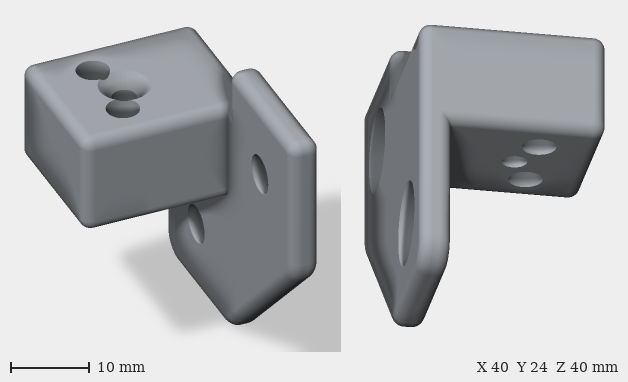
import cadquery as cq
import math

size = 40.0
depth = 24.0
half = size / 2

plate_thickness = 4.0
plate_front = depth - plate_thickness
corner_radius = 4.0
edge_radius = 1.5

block_bottom = half
block_top = 34.0

plate_hole_diameter = 5.3
plate_hole_land = 0.5
plate_hole_places = [(size / 4, size / 4), (size * 3 / 4, size * 3 / 4)]

block_center_x = half / 2
screw_y = 10.0
screw_diameter = 3.25
countersink_diameter = 6.8
countersink_angle = 90.0
side_hole_diameter = 4.4
side_hole_offset = 4.7
side_hole_y = 7.7


def is_inner_corner(edge):
    """True for the plate edge at the concave corner of the step."""
    center = edge.Center()
    return abs(center.x - half) < edge_radius and abs(center.z - block_top) < edge_radius


def make_plate():
    """Stepped plate with a 45 degree lower corner and all edges rounded."""
    outline = [
        (0, 0),
        (half, 0),
        (size, half),
        (size, size),
        (half, size),
        (half, block_top),
        (0, block_top),
    ]
    plate = cq.Workplane("XZ", origin=(0, depth, 0)).polyline(outline).close().extrude(plate_thickness)
    lower_corners = plate.edges("|Y").filter(lambda edge: edge.Center().z < half + edge_radius)
    plate = lower_corners.fillet(corner_radius)
    outer_corners = plate.edges("|Y").filter(
        lambda edge: edge.Center().z > half + corner_radius
        and not is_inner_corner(edge)
    )
    plate = outer_corners.fillet(edge_radius)
    return plate.faces("<Y or >Y").edges().fillet(edge_radius)


def make_block():
    """Block rounded on all exposed edges, ending inside the plate thickness."""
    block_end = plate_front + edge_radius
    block = cq.Workplane("XY").box(half, block_end, block_top - block_bottom, centered=False)
    block = block.translate((0, 0, block_bottom))
    return block.edges("|Y or <Y").fillet(edge_radius)


def make_plate_hole_cutters():
    """Short straight holes that blend through a rounding into a 45 degree flare at the back face."""
    hole_radius = plate_hole_diameter / 2
    diagonal = math.sqrt(0.5)
    blend_end_radius = hole_radius + edge_radius * (1 - diagonal)
    blend_end_depth = plate_hole_land + edge_radius * diagonal
    flare_end_radius = blend_end_radius + plate_thickness - blend_end_depth
    profile = (
        cq.Workplane("XY")
        .lineTo(hole_radius, 0)
        .lineTo(hole_radius, plate_hole_land)
        .tangentArcPoint((blend_end_radius, blend_end_depth), relative=False)
        .lineTo(flare_end_radius, plate_thickness)
        .lineTo(0, plate_thickness)
        .close()
    )
    cutter = profile.revolve(360, (0, 0), (0, 1))
    cutters = cq.Workplane("XY")
    for x, z in plate_hole_places:
        cutters = cutters.add(cutter.translate((x, plate_front, z)))
    return cutters.combine()


body = make_plate().union(make_block())

screw_plane = cq.Workplane("XY", origin=(block_center_x, screw_y, block_top))
body = body.copyWorkplane(screw_plane).cskHole(
    screw_diameter, countersink_diameter, countersink_angle, block_top - block_bottom
)

side_holes = (
    cq.Workplane("XY", origin=(block_center_x, side_hole_y, block_bottom))
    .pushPoints([(-side_hole_offset, 0), (side_hole_offset, 0)])
    .circle(side_hole_diameter / 2)
    .extrude(block_top - block_bottom)
)

result = body.cut(make_plate_hole_cutters()).cut(side_holes)